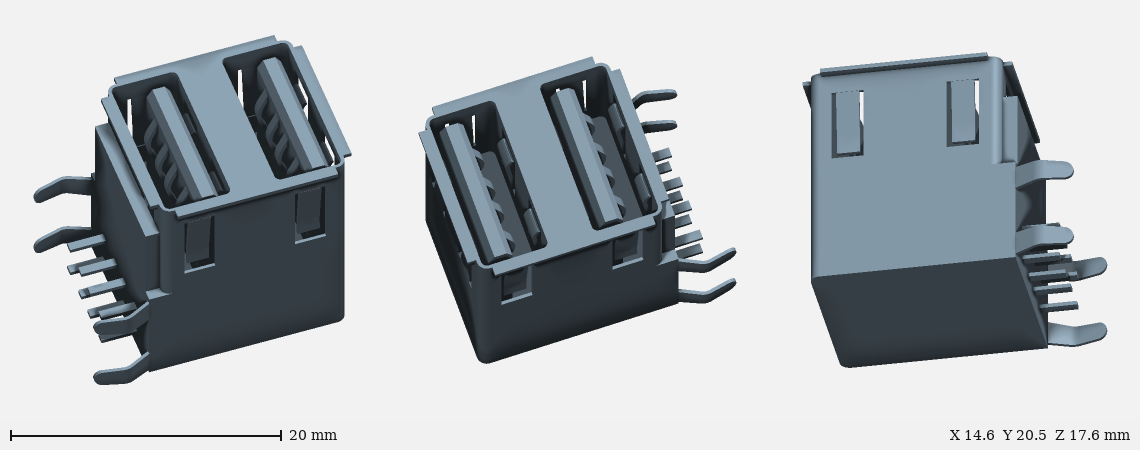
import cadquery as cq
import math

width = 13.0
height = 17.65
shell_front = 1.09
shell_depth = 14.41
corner_radius = 0.76
side_wall = 0.25
face_wall = 0.3

base_height = 8.27
back_cover_height = 14.52
back_cover_width = 11.35

flange_overhang = 0.65
flange_thickness = 0.33
face_flange_length = 11.1
side_flange_length = 12.55

socket_pitch = 8.65
socket_depth = 5.16
socket_corner_radius = 0.45

tongue_width = 11.1
tongue_thickness = 1.85
tongue_offset = 0.97
tongue_top = 17.09
tongue_chamfer_width = 0.45
tongue_chamfer_height = 0.65
contact_width = 0.7
contact_positions = (-3.5, -1.0, 1.0, 3.5)
contact_thickness = 0.3
pin_length = 2.8
front_pin_height = 4.15
rear_pin_height = 1.6

window_bottom = 10.15
side_window_top = 15.83
side_window_width = 2.43
side_spring_width = 1.73
face_window_top = 16.49
face_window_width = 2.98
face_spring_width = 1.97
face_window_positions = (-2.98, 2.98)

leg_heights = (1.21, 6.9)
leg_reach = 4.4
leg_thickness = 0.27
leg_root_width = 1.8
leg_end_width = 1.4
leg_tip_length = 0.62

shell_centre = shell_front + shell_depth / 2
shell_rear = shell_front + shell_depth
socket_width = width - 2 * side_wall
front_socket = shell_centre - socket_pitch / 2
rear_socket = shell_centre + socket_pitch / 2
sockets = (front_socket, rear_socket)


def block(x_size, y_range, z_range, x_centre=0.0):
    """Rectangular block centred on x_centre between two Y and two Z limits."""
    y_low, y_high = y_range
    z_low, z_high = z_range
    return (
        cq.Workplane("XY", origin=(x_centre, y_low, z_low))
        .box(x_size, y_high - y_low, z_high - z_low, centered=(True, False, False))
    )


def bent_strip(plane, start, heading, bends, tail, thickness, strip_width):
    """Bent strip of even thickness, centred on the plane.

    The middle line starts at `start` with the given heading. Each bend is a straight run, a radius
    and a turn (positive to the left); a straight tail follows the last bend. Angles in degrees.
    """
    left = cq.Workplane(plane)
    right = []
    x, y = start
    angle = math.radians(heading)

    def side_points(centre_x, centre_y, direction):
        across_x = -math.sin(direction) * thickness / 2
        across_y = math.cos(direction) * thickness / 2
        return (centre_x + across_x, centre_y + across_y), (centre_x - across_x, centre_y - across_y)

    left_point, right_start = side_points(x, y, angle)
    left = left.moveTo(*left_point)
    for run, radius, turn in bends:
        x += run * math.cos(angle)
        y += run * math.sin(angle)
        left_bend_start, right_bend_start = side_points(x, y, angle)
        signed_radius = math.copysign(radius, turn)
        bend_centre_x = x - signed_radius * math.sin(angle)
        bend_centre_y = y + signed_radius * math.cos(angle)
        arc_points = []
        for part in (0.5, 1.0):
            direction = angle + part * math.radians(turn)
            x = bend_centre_x + signed_radius * math.sin(direction)
            y = bend_centre_y - signed_radius * math.cos(direction)
            arc_points.append(side_points(x, y, direction))
        angle += math.radians(turn)
        (left_middle, right_middle), (left_end, right_end) = arc_points
        left = left.lineTo(*left_bend_start).threePointArc(left_middle, left_end)
        right.append((right_end, right_middle, right_bend_start))

    if tail > 0:
        left_tip, right_tip = side_points(
            x + tail * math.cos(angle), y + tail * math.sin(angle), angle
        )
        left = left.lineTo(*left_tip).lineTo(*right_tip)
    outline = left
    for bend_end, bend_middle, bend_start in reversed(right):
        outline = outline.lineTo(*bend_end).threePointArc(bend_middle, bend_start)
    return outline.lineTo(*right_start).close().extrude(strip_width / 2, both=True)




def make_outer_block():
    shell = (
        block(width, (shell_front, shell_rear), (0, height))
        .edges("|Z").fillet(corner_radius)
    )
    base = block(width, (0, shell_centre), (0, base_height))
    back_cover = block(back_cover_width, (0, shell_centre), (0, back_cover_height))
    flange_range = (height - flange_thickness, height)
    face_flanges = block(
        face_flange_length, (shell_front - flange_overhang, shell_rear + flange_overhang), flange_range
    )
    half_side = side_flange_length / 2
    side_flanges = block(
        width + 2 * flange_overhang, (shell_centre - half_side, shell_centre + half_side), flange_range
    )
    return shell.union(base).union(back_cover).union(face_flanges).union(side_flanges)


def make_socket_cut(socket_y):
    """Socket well with its two side windows and four face windows."""
    low = socket_y - socket_depth / 2
    high = socket_y + socket_depth / 2
    well = block(socket_width, (low, high), (base_height, height))
    well = well.edges("|Z").fillet(socket_corner_radius)
    half_window = side_window_width / 2
    cut = well.union(
        block(width, (socket_y - half_window, socket_y + half_window), (window_bottom, side_window_top))
    )
    for x in face_window_positions:
        window = block(
            face_window_width, (low - face_wall, high + face_wall), (window_bottom, face_window_top), x
        )
        cut = cut.union(window)
    return cut


side_spring_lean = 6.5
side_spring_run = 3.58
side_spring_radius = 4.73
side_spring_turn = 10.0
side_spring_tail = 0.7


def make_side_spring(socket_y):
    """Spring of the -X wall."""
    start = (-width / 2 + side_wall / 2, side_window_top)
    plane = cq.Plane(origin=(0, socket_y, 0), xDir=(1, 0, 0), normal=(0, -1, 0))
    return bent_strip(
        plane, start, side_spring_lean - 90,
        [(side_spring_run, side_spring_radius, -side_spring_turn)],
        side_spring_tail, side_wall, side_spring_width,
    )


face_spring_lean = 7.0
face_spring_run = 4.17
face_spring_radius = 1.15
face_spring_turn = 56.0


def make_face_spring(x, wall_y, inward):
    """Spring in a wall whose socket lies toward `inward` (+1 for +Y, -1 for -Y)."""
    plane = cq.Plane(origin=(x, wall_y, 0), xDir=(0, inward, 0), normal=(inward, 0, 0))
    start = (-face_wall / 2, window_bottom)
    return bent_strip(
        plane, start, 90 - face_spring_lean,
        [(face_spring_run, face_spring_radius, face_spring_turn)],
        0, face_wall, face_spring_width,
    )


leg_splay = 25.0
leg_run = 1.7
leg_bend_radius = 1.1
leg_turn = 37.7
leg_tail = 2.22


def make_leg(z):
    """Leg at the +X side, tapered to a rounded tip."""
    strip = bent_strip(
        cq.Plane(origin=(0, 0, z)), (width / 2 - leg_thickness / 2, 0), leg_splay - 90,
        [(leg_run, leg_bend_radius, -leg_turn)],
        leg_tail, leg_thickness, leg_root_width,
    )
    taper_end = leg_tip_length - leg_reach
    outline = (
        cq.Workplane("YZ", origin=(0, 0, z))
        .moveTo(0, -leg_root_width / 2)
        .lineTo(taper_end, -leg_end_width / 2)
        .threePointArc((-leg_reach, 0), (taper_end, leg_end_width / 2))
        .lineTo(0, leg_root_width / 2)
        .close()
        .extrude(width)
    )
    splay = math.radians(leg_splay)
    root = (
        cq.Workplane("XY", origin=(width / 2 - leg_thickness / 2, 0, z))
        .polyline([
            (0, 0),
            (leg_thickness / 2 / math.cos(splay), 0),
            (leg_thickness / 2 * math.cos(splay), leg_thickness / 2 * math.sin(splay)),
        ])
        .close()
        .extrude(leg_root_width / 2, both=True)
    )
    return strip.intersect(outline).union(root)


def make_housing():
    housing = make_outer_block()
    for socket_y in sockets:
        housing = housing.cut(make_socket_cut(socket_y))
    for socket_y in sockets:
        spring = make_side_spring(socket_y)
        housing = housing.union(spring).union(spring.mirror("YZ"))
        for x in face_window_positions:
            for inward in (1, -1):
                wall_y = socket_y - inward * socket_depth / 2
                housing = housing.union(make_face_spring(x, wall_y, inward))
    for z in leg_heights:
        leg = make_leg(z)
        housing = housing.union(leg).union(leg.mirror("YZ"))
    return housing




def make_tongue(tongue_y):
    half = tongue_thickness / 2
    top_half = half - tongue_chamfer_width
    shoulder = tongue_top - tongue_chamfer_height
    return (
        cq.Workplane("YZ", origin=(0, tongue_y, 0))
        .polyline([
            (-half, base_height), (half, base_height), (half, shoulder),
            (top_half, tongue_top), (-top_half, tongue_top), (-half, shoulder),
        ])
        .close()
        .extrude(tongue_width / 2, both=True)
    )


bow_top = 16.39
bow_slope = 27.0
bow_entry_radius = 0.62
bow_ramp = 1.1
bow_crest_radius = 2.26
bow_tail = 1.65


def make_contact(x, tongue_y, pin_z):
    """Bow on the -Y face of the tongue, tail down through the base and pin out of its back."""
    plane = cq.Plane(
        origin=(x, tongue_y - tongue_thickness / 2, 0), xDir=(0, -1, 0), normal=(-1, 0, 0)
    )
    bow = bent_strip(
        plane, (-contact_thickness / 2, bow_top), -90,
        [(contact_thickness, bow_entry_radius, bow_slope), (bow_ramp, bow_crest_radius, -2 * bow_slope)],
        bow_tail, contact_thickness, contact_width,
    )
    half = contact_thickness / 2
    tail = block(contact_width, (tongue_y - half, tongue_y + half), (pin_z - half, base_height), x)
    pin = block(contact_width, (-pin_length, tongue_y + half), (pin_z - half, pin_z + half), x)
    return bow.union(tail).union(pin)


def make_contact_block(socket_y, pin_z):
    tongue_y = socket_y + tongue_offset
    contact_block = make_tongue(tongue_y)
    for x in contact_positions:
        contact_block = contact_block.union(make_contact(x, tongue_y, pin_z))
    return contact_block


contact_blocks = [
    make_contact_block(socket_y, pin_z)
    for socket_y, pin_z in ((front_socket, front_pin_height), (rear_socket, rear_pin_height))
]

housing = make_housing()
for contact_block in contact_blocks:
    housing = housing.cut(contact_block)

solids = [body.solids().val() for body in (housing, *contact_blocks)]
result = cq.Compound.makeCompound(solids)